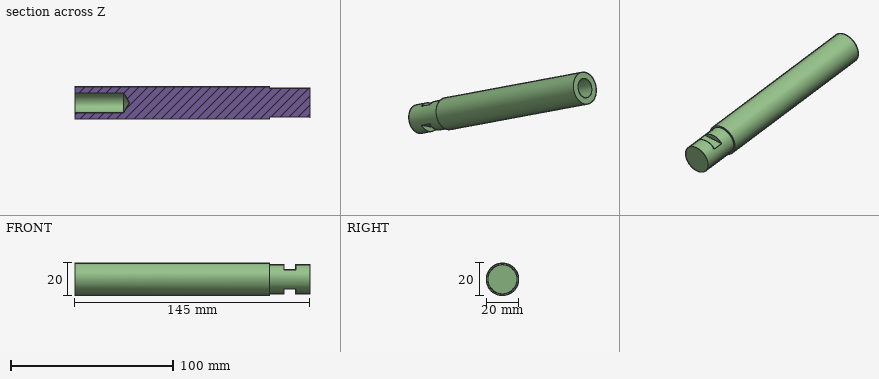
import cadquery as cq
import math

total_length = 145.0
body_diameter = 20.0
neck_diameter = 18.0
neck_length = 25.0

flat_width = 7.0
flat_end_distance = 9.0
across_flats = 12.0

hole_diameter = 12.0
hole_depth = 30.0
drill_point_angle = 118.0

left_end = -total_length / 2
right_end = total_length / 2
body_length = total_length - neck_length


def make_rod():
    """Cylindrical body with a smaller neck at the +X end."""
    body = cq.Workplane("YZ", origin=(left_end, 0, 0)).circle(body_diameter / 2).extrude(body_length)
    neck_start = left_end + body_length
    neck = cq.Workplane("YZ", origin=(neck_start, 0, 0)).circle(neck_diameter / 2).extrude(neck_length)
    return body.union(neck)


def make_flat_cutter(side):
    """Block that cuts one wrench flat; side is +1 for the top, -1 for the bottom."""
    flat_center = right_end - flat_end_distance - flat_width / 2
    cutter_height = body_diameter
    cutter_center = side * (across_flats + cutter_height) / 2
    cutter = cq.Workplane("XY").box(flat_width, body_diameter, cutter_height)
    return cutter.translate((flat_center, 0, cutter_center))


def make_hole():
    """Drilled hole with a conical bottom, revolved about the X axis."""
    radius = hole_diameter / 2
    point_length = radius / math.tan(math.radians(drill_point_angle / 2))
    hole_end = left_end + hole_depth
    profile = (
        cq.Workplane("XY")
        .moveTo(left_end, 0)
        .lineTo(left_end, radius)
        .lineTo(hole_end, radius)
        .lineTo(hole_end + point_length, 0)
        .close()
    )
    return profile.revolve(360, (0, 0, 0), (1, 0, 0))


result = make_rod()
for side in (1, -1):
    result = result.cut(make_flat_cutter(side))
result = result.cut(make_hole())